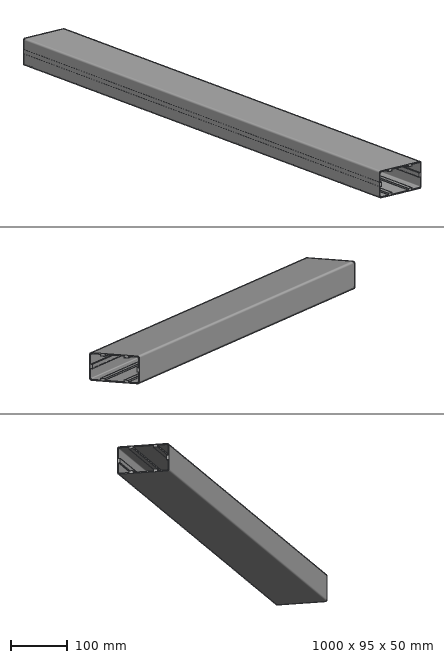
import cadquery as cq

length = 1000.0
width = 95.0
height = 50.0
wall = 2.0
corner_radius = 4.0
inner_corner_radius = corner_radius - wall

rib_width = 8.0
rib_height = 3.0
rib_spacing = 45.0
rib_offset = rib_spacing / 2


def long_bar(size_y, size_z):
    """Rectangular bar of the full part length, centred on the X axis."""
    return cq.Workplane("XY").box(length, size_y, size_z)


def tube():
    outer = long_bar(width, height).edges("|X").fillet(corner_radius)
    bore = long_bar(width - 2 * wall, height - 2 * wall)
    return outer.cut(bore.edges("|X").fillet(inner_corner_radius))


rib_depth = rib_height + wall / 2
rib_centre_y = (width - wall - rib_depth) / 2
rib_centre_z = (height - wall - rib_depth) / 2

result = tube()
for side in (-1, 1):
    side_rib = long_bar(rib_depth, rib_width)
    result = result.union(side_rib.translate((0, side * rib_centre_y, 0)))
    for offset in (-rib_offset, rib_offset):
        flat_rib = long_bar(rib_width, rib_depth)
        result = result.union(flat_rib.translate((0, offset, side * rib_centre_z)))